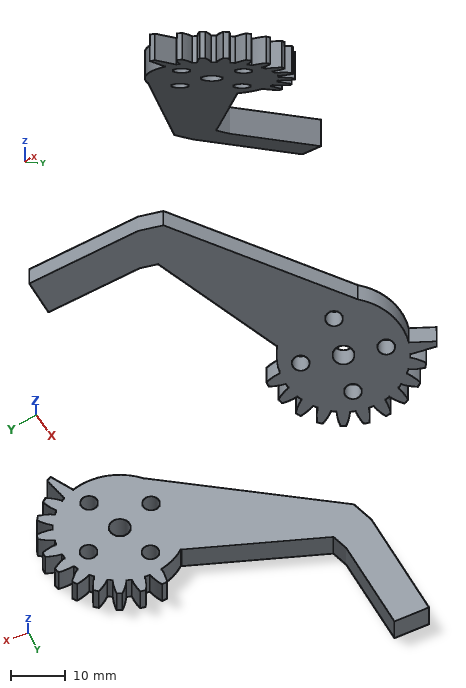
import cadquery as cq
import math

thickness = 5.0

root_radius = 12.25
tip_radius = 15.2
teeth_in_full_circle = 22
tooth_pitch = 360 / teeth_in_full_circle
tooth_count = 10
teeth_below_x_axis = 3
sector_turn = 0.9
first_tooth_angle = sector_turn - teeth_below_x_axis * tooth_pitch
tooth_root_half_width = 1.25
tooth_middle_half_width = 1.0
tooth_tip_half_width = 0.55
tooth_middle_radius = (root_radius + tip_radius) / 2
tooth_overlap = 0.6
tooth_base_radius = root_radius - tooth_overlap

shaft_hole_diameter = 4.0
screw_hole_diameter = 3.2
screw_circle_radius = 8.0
screw_hole_count = 4
first_screw_angle = 21

arm_upper_rim = (-8.35, 9.15)
arm_inner_elbow = (-34.95, 17.5)
arm_inner_bend = (-36.1, 20.8)
arm_end_inner = (-37.4, 39.9)
arm_end_outer = (-44.5, 39.4)
arm_outer_bend = (-42.95, 16.6)
arm_outer_elbow = (-41.4, 12.05)
arm_lower_rim = (-8.55, -8.8)

stop_corners = [(4.35, -11.5), (6.9, -15.8), (7.9, -15.2), (6.6, -10.45)]


def make_arm():
    corners = [
        (0, 0),
        arm_upper_rim,
        arm_inner_elbow,
        arm_inner_bend,
        arm_end_inner,
        arm_end_outer,
        arm_outer_bend,
        arm_outer_elbow,
        arm_lower_rim,
    ]
    return cq.Workplane("XY").polyline(corners).close().extrude(thickness)


def make_tooth(angle):
    """One tooth with bulging flanks and a rounded tip, turned to the given angle."""
    tip_corner_x = math.sqrt(tip_radius**2 - tooth_tip_half_width**2)
    tooth = (
        cq.Workplane("XY")
        .moveTo(tooth_base_radius, -tooth_root_half_width)
        .lineTo(root_radius, -tooth_root_half_width)
        .threePointArc(
            (tooth_middle_radius, -tooth_middle_half_width),
            (tip_corner_x, -tooth_tip_half_width),
        )
        .threePointArc((tip_radius, 0), (tip_corner_x, tooth_tip_half_width))
        .threePointArc(
            (tooth_middle_radius, tooth_middle_half_width),
            (root_radius, tooth_root_half_width),
        )
        .lineTo(tooth_base_radius, tooth_root_half_width)
        .close()
        .extrude(thickness)
    )
    return tooth.rotate((0, 0, 0), (0, 0, 1), angle)


def make_stop():
    return cq.Workplane("XY").polyline([(0, 0)] + stop_corners).close().extrude(thickness)


def make_holes():
    shaft_hole = cq.Workplane("XY").circle(shaft_hole_diameter / 2).extrude(thickness)
    screw_holes = (
        cq.Workplane("XY")
        .polarArray(screw_circle_radius, first_screw_angle, 360, screw_hole_count)
        .circle(screw_hole_diameter / 2)
        .extrude(thickness)
    )
    return shaft_hole.union(screw_holes)


disc = cq.Workplane("XY").circle(root_radius).extrude(thickness)
plate = disc.union(make_arm()).union(make_stop())
for tooth_index in range(tooth_count):
    plate = plate.union(make_tooth(first_tooth_angle + tooth_index * tooth_pitch))

result = plate.cut(make_holes())